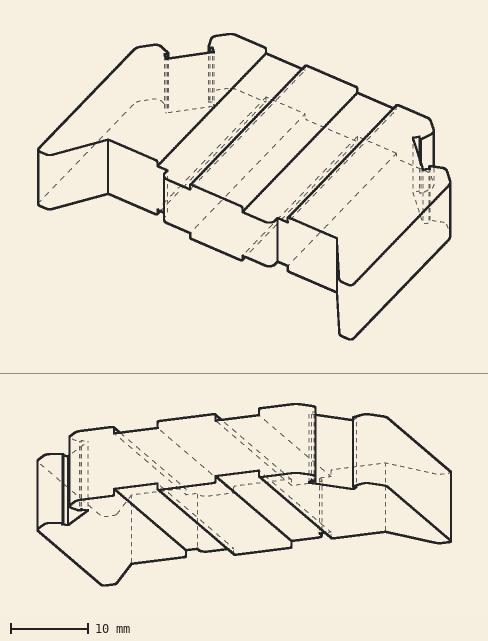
import cadquery as cq

width = 48.6
depth = 32.8
thickness = 9.5
side_x = width / 2
back_y = depth / 2
foot_y = -depth / 2

front_y = -9.6
foot_tip_x = 22.4
foot_root_x = 17.65
foot_outer_radius = 0.5
foot_inner_radius = 0.87
tongue_half_width = 8.5
tongue_y = front_y - 1.5
tongue_radius = 0.9

corner_chamfer = 9.05
corner_radius = 1.3
hook_nose = (17.2, 14.5)
hook_nose_radius = 0.95
hook_tip = (16.45, 12.45)
hook_tip_inner = (16.2, 12.45)
notch_step = (16.0, 12.75)
notch_corner = (15.35, 12.1)
notch_mirror_sum = 7.75

groove_inner_x = 4.05
groove_outer_x = 10.05
groove_depth = 0.9
groove_edge_radius = 0.25


def across_notch(point):
    """Reflect a point about the 45-degree symmetry line of the notch."""
    x, y = point
    return (notch_mirror_sum + y, x - notch_mirror_sum)


def right_half_outline():
    """Corner points from the tongue, around the right side, to the back edge."""
    upper_hook = [notch_corner, notch_step, hook_tip_inner, hook_tip, hook_nose]
    lower_hook = [across_notch(point) for point in reversed(upper_hook)]
    return [
        (tongue_half_width, tongue_y),
        (tongue_half_width, front_y),
        (foot_root_x, front_y),
        (foot_tip_x, foot_y),
        (side_x, foot_y),
        (side_x, back_y - corner_chamfer),
        *lower_hook,
        *upper_hook,
        (side_x - corner_chamfer, back_y),
    ]


def fillet_corners(body, point, radius):
    """Round the upright edge at a corner point and its twin on the left."""
    x, y = point
    for corner_x in (x, -x):
        edge = cq.selectors.NearestToPointSelector((corner_x, y, 0))
        body = body.edges("|Z").edges(edge).fillet(radius)
    return body


def make_block():
    right = right_half_outline()
    left = [(-x, y) for x, y in reversed(right)]
    body = cq.Workplane("XY").polyline(right + left).close().extrude(thickness / 2, both=True)
    rounded_corners = [
        ((tongue_half_width, tongue_y), tongue_radius),
        ((foot_tip_x, foot_y), foot_inner_radius),
        ((side_x, foot_y), foot_outer_radius),
        ((side_x, back_y - corner_chamfer), corner_radius),
        ((side_x - corner_chamfer, back_y), corner_radius),
        (hook_nose, hook_nose_radius),
        (across_notch(hook_nose), hook_nose_radius),
    ]
    for point, radius in rounded_corners:
        body = fillet_corners(body, point, radius)
    return body


def make_groove(side, face):
    """Groove cutter: side is -1 or 1 along X, face is -1 or 1 along Z."""
    surface = face * thickness / 2
    floor = surface - face * groove_depth
    inner = side * groove_inner_x
    outer = side * groove_outer_x
    inner_crest = inner - side * groove_edge_radius
    outer_crest = outer + side * groove_edge_radius
    round_end = surface - face * groove_edge_radius
    signed_radius = side * face * groove_edge_radius
    return (
        cq.Workplane("XZ")
        .moveTo(inner_crest, surface)
        .radiusArc((inner, round_end), signed_radius)
        .lineTo(inner, floor)
        .lineTo(outer, floor)
        .lineTo(outer, round_end)
        .radiusArc((outer_crest, surface), signed_radius)
        .close()
        .extrude(depth / 2, both=True)
    )


result = make_block()
for side in (-1, 1):
    for face in (-1, 1):
        result = result.cut(make_groove(side, face))